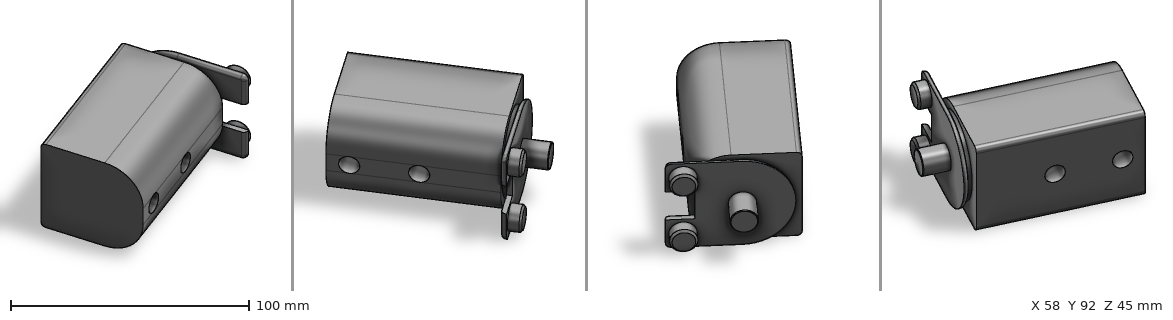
import cadquery as cq

total_length = 92.0
height = 45.0
overall_width = 58.0

housing_width = 48.0
housing_length = 75.0
small_corner_radius = 2.5
large_corner_radius = 18.0
mounting_hole_diameter = 9.0
mounting_hole_first_y = 10.0
mounting_hole_spacing = 30.0
mounting_hole_count = 2

shaft_x = 25.5
shaft_diameter = 12.0
shaft_chamfer = 0.4
neck_diameter = 40.0
neck_length = 2.0

plate_thickness = 2.5
plate_edge_round = 2.0
plate_corner_radius = 2.5
plate_front_y = housing_length + neck_length
plate_back_y = plate_front_y + plate_thickness
fork_slot_width = 15.0
fork_slot_floor_x = shaft_x + neck_diameter / 2

pin_diameter = 12.0
pin_length = 6.0
pin_chamfer = 1.0
pin_x = shaft_x + 25.0
pin_spacing = 30.0


def plane_facing_back(y):
    """Sketch plane at the given Y, with its normal along +Y and its local y along -Z."""
    return cq.Workplane("XZ", origin=(0, y, 0)).transformed(rotate=(180, 0, 0))


def cylinder_along_y(x, z, start_y, diameter, length):
    start = cq.Vector(x, start_y, z)
    return cq.Workplane(obj=cq.Solid.makeCylinder(diameter / 2, length, start, cq.Vector(0, 1, 0)))


def make_housing():
    """Rounded block with cross holes, a round neck and the shaft."""
    block = cq.Workplane("XY").box(housing_width, housing_length, height, centered=(False, False, True))
    block = block.edges("|Y and <X").fillet(small_corner_radius)
    block = block.edges("|Y and >X").fillet(large_corner_radius)

    for index in range(mounting_hole_count):
        hole_y = mounting_hole_first_y + index * mounting_hole_spacing
        hole = cq.Workplane("YZ").center(hole_y, 0).circle(mounting_hole_diameter / 2).extrude(housing_width)
        block = block.cut(hole)

    neck = cylinder_along_y(shaft_x, 0, housing_length, neck_diameter, neck_length)
    shaft = cylinder_along_y(shaft_x, 0, plate_front_y, shaft_diameter, total_length - plate_front_y)
    shaft = shaft.faces(">Y").chamfer(shaft_chamfer)
    return block.union(neck).union(shaft)


def make_plate():
    """Plate with one round end, a fork at the other and a rounded front rim."""
    half_height = height / 2
    plate = (
        plane_facing_back(plate_front_y)
        .moveTo(shaft_x, half_height)
        .lineTo(overall_width, half_height)
        .lineTo(overall_width, -half_height)
        .lineTo(shaft_x, -half_height)
        .threePointArc((shaft_x - half_height, 0), (shaft_x, half_height))
        .close()
        .extrude(plate_thickness)
    )
    plate = plate.edges("|Y and >X").fillet(plate_corner_radius)
    plate = plate.faces("<Y").edges().fillet(plate_edge_round)

    slot_length = overall_width - fork_slot_floor_x
    fork_slot = cq.Workplane("XY").box(
        slot_length, plate_thickness, fork_slot_width, centered=(False, False, True)
    )
    plate = plate.cut(fork_slot.translate((fork_slot_floor_x, plate_front_y, 0)))

    shaft_hole = cylinder_along_y(shaft_x, 0, plate_front_y, shaft_diameter, plate_thickness)
    return plate.cut(shaft_hole)


def make_pin(z):
    """Short pin standing on the back of the plate, with a chamfered tip."""
    pin = cylinder_along_y(pin_x, z, plate_back_y, pin_diameter, pin_length)
    return pin.faces(">Y").chamfer(pin_chamfer)


housing = make_housing()
plate = make_plate()
pins = [make_pin(side * pin_spacing / 2) for side in (-1, 1)]

bodies = [housing, plate, *pins]
result = cq.Compound.makeCompound([body.solids().val() for body in bodies])